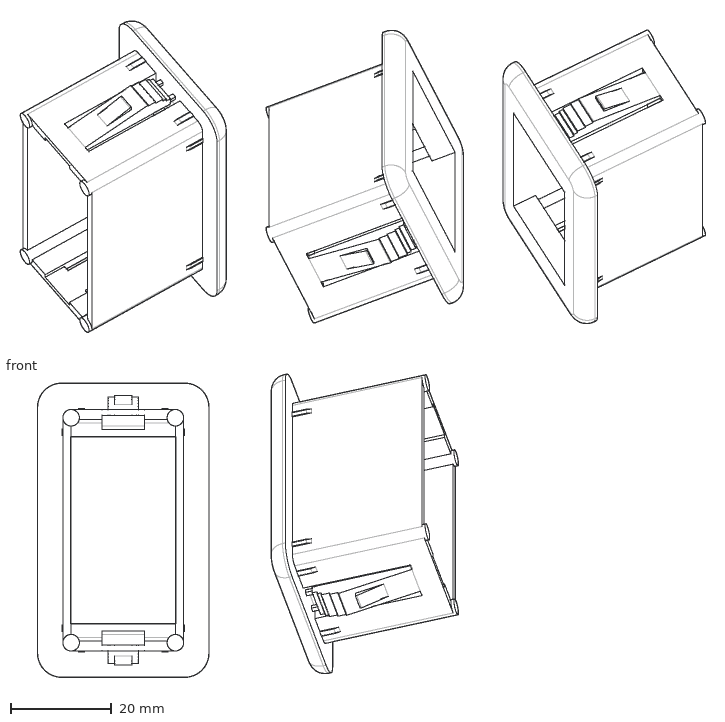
import cadquery as cq


BEZEL_WIDTH = 34.05
BEZEL_HEIGHT = 58.4
BEZEL_THICKNESS = 3.75
BEZEL_CORNER_RADIUS = 4.85
FLANGE_EDGE = 0.6
OPENING_HEIGHT = 37.05

BOX_WIDTH = 23.95
BOX_HEIGHT = 47.9
ROD_LENGTH = 27.4
WALL_LENGTH = 26.75
ROD_RADIUS = 1.65
INNER_WIDTH = 20.8
INNER_HEIGHT = 43.95

LIP_LENGTH = 1.3
LIP_FILLET = 0.7
POCKET_FLOOR = 20.0

SLOT_WIDTH = 8.4
SLOT_END = 22.1
CHANNEL_TOP = 22.8

LATCH_WIDTH = 6.0
LATCH_STEPS = [(1.5, 0.6), (2.5, 1.15), (3.35, 1.75), (5.1, 2.15), (6.85, 2.45)]
LATCH_CREST_FLAT = 0.2
PAD_WIDTH = 3.4
PAD_START = 10.05
PAD_FLAT = 0.3
PAD_END = 15.9
PAD_TOP = 2.75
BRIDGE_WIDTH = 0.95
BRIDGE_OFFSET = 2.15
BRIDGE_DROP = 0.4

RIB_WIDTH = 1.2
RIB_LENGTH = 3.9
RIB_FLAT_LENGTH = 2.9
RIB_HEIGHT = 0.205
RIB_ROOT_DEPTH = 0.6
RIB_X = 8.3
RIB_Z = 19.45

wall_top = BOX_HEIGHT / 2
rod_x = BOX_WIDTH / 2 - ROD_RADIUS
rod_z = BOX_HEIGHT / 2 - ROD_RADIUS


def block(width, y_back, y_front, z_low, z_high):
    """Box centred on x = 0, between two y and two z positions."""
    return cq.Workplane("XY").box(
        width, y_back - y_front, z_high - z_low, centered=(True, False, False)
    ).translate((0, y_front, z_low))


def side_profile(points, width):
    """Extrude a closed (y, z) outline symmetrically about x = 0."""
    return cq.Workplane("YZ").polyline(points).close().extrude(width / 2, both=True)


def both_ends(shape):
    """The shape together with its mirror image on the opposite z side."""
    return shape.union(shape.mirror("XY"))


def make_bezel():
    plate = block(BEZEL_WIDTH, BEZEL_THICKNESS, 0, -BEZEL_HEIGHT / 2, BEZEL_HEIGHT / 2)
    plate = plate.edges("|Y").fillet(BEZEL_CORNER_RADIUS)
    plate = plate.faces(">Y").edges().fillet(BEZEL_THICKNESS - FLANGE_EDGE)
    opening = block(INNER_WIDTH, BEZEL_THICKNESS, 0, -OPENING_HEIGHT / 2, OPENING_HEIGHT / 2)
    return plate.cut(opening)


def make_box():
    outer = block(BOX_WIDTH, 0, -WALL_LENGTH, -rod_z, rod_z)
    outer = outer.union(block(2 * rod_x, 0, -WALL_LENGTH, -wall_top, wall_top))
    inner = block(INNER_WIDTH, 0, -WALL_LENGTH, -INNER_HEIGHT / 2, INNER_HEIGHT / 2)
    rods = (
        cq.Workplane("XZ")
        .rect(2 * rod_x, 2 * rod_z, forConstruction=True)
        .vertices()
        .circle(ROD_RADIUS)
        .extrude(ROD_LENGTH)
    )
    return outer.cut(inner).union(rods)


def make_lip():
    """Ledge along the wall, blended into the wall by a hollow fillet."""
    wall_z = INNER_HEIGHT / 2
    profile = (
        cq.Workplane("YZ")
        .moveTo(0, OPENING_HEIGHT / 2)
        .lineTo(0, wall_z)
        .lineTo(-LIP_LENGTH - LIP_FILLET, wall_z)
        .radiusArc((-LIP_LENGTH, wall_z - LIP_FILLET), LIP_FILLET)
        .lineTo(-LIP_LENGTH, OPENING_HEIGHT / 2)
        .close()
    )
    return profile.extrude(INNER_WIDTH / 2, both=True)


def make_channel():
    """Channel along the wall that sinks into a pocket with a rounded bottom corner in the lip."""
    channel = block(SLOT_WIDTH, 0, -WALL_LENGTH, INNER_HEIGHT / 2 - LIP_FILLET, CHANNEL_TOP)
    pocket = block(SLOT_WIDTH, 0, -LIP_LENGTH, POCKET_FLOOR, CHANNEL_TOP)
    pocket = pocket.edges(">Y and <Z").fillet(LIP_FILLET)
    return channel.union(pocket)


def make_slot():
    return block(SLOT_WIDTH, 0, -SLOT_END, CHANNEL_TOP, wall_top)


def make_latch():
    """Stepped tongue, sloping down to its root, with a raised pad and two bridges to the bezel."""
    outline = [(-LATCH_STEPS[0][0], CHANNEL_TOP)]
    previous_height = None
    for distance, height in LATCH_STEPS:
        if previous_height is not None:
            outline.append((-distance, wall_top + previous_height))
        outline.append((-distance, wall_top + height))
        previous_height = height
    crest_end = LATCH_STEPS[-1][0] + LATCH_CREST_FLAT
    outline.append((-crest_end, wall_top + previous_height))
    outline.append((-SLOT_END, wall_top))
    outline.append((-SLOT_END, CHANNEL_TOP))
    tongue = side_profile(outline, LATCH_WIDTH)

    slope = previous_height / (SLOT_END - crest_end)
    pad_end_z = wall_top + slope * (SLOT_END - PAD_END)
    pad = side_profile(
        [
            (-PAD_START, wall_top),
            (-PAD_START, wall_top + PAD_TOP),
            (-PAD_START - PAD_FLAT, wall_top + PAD_TOP),
            (-PAD_END, pad_end_z),
            (-PAD_END, wall_top),
        ],
        PAD_WIDTH,
    )
    latch = tongue.union(pad)

    bridge = block(BRIDGE_WIDTH, 0, -LATCH_STEPS[0][0], CHANNEL_TOP, wall_top - BRIDGE_DROP)
    for side in (-1, 1):
        latch = latch.union(bridge.translate((side * BRIDGE_OFFSET, 0, 0)))
    return latch


def make_ribs():
    """Ribs with a ramped end: two on each of the four outside faces."""
    outline = [
        (0, -RIB_ROOT_DEPTH),
        (0, RIB_HEIGHT),
        (-RIB_FLAT_LENGTH, RIB_HEIGHT),
        (-RIB_LENGTH, 0),
        (-RIB_LENGTH, -RIB_ROOT_DEPTH),
    ]
    rib = side_profile(outline, RIB_WIDTH)
    upright = rib.translate((0, 0, wall_top))
    sideways = rib.rotate((0, 0, 0), (0, 1, 0), 90).translate((BOX_WIDTH / 2, 0, RIB_Z))
    pair = upright.translate((RIB_X, 0, 0)).union(sideways)
    return both_ends(pair.union(pair.mirror("YZ")))


result = make_bezel().union(make_box()).union(both_ends(make_lip()))
result = result.cut(both_ends(make_channel().union(make_slot())))
result = result.union(both_ends(make_latch())).union(make_ribs())